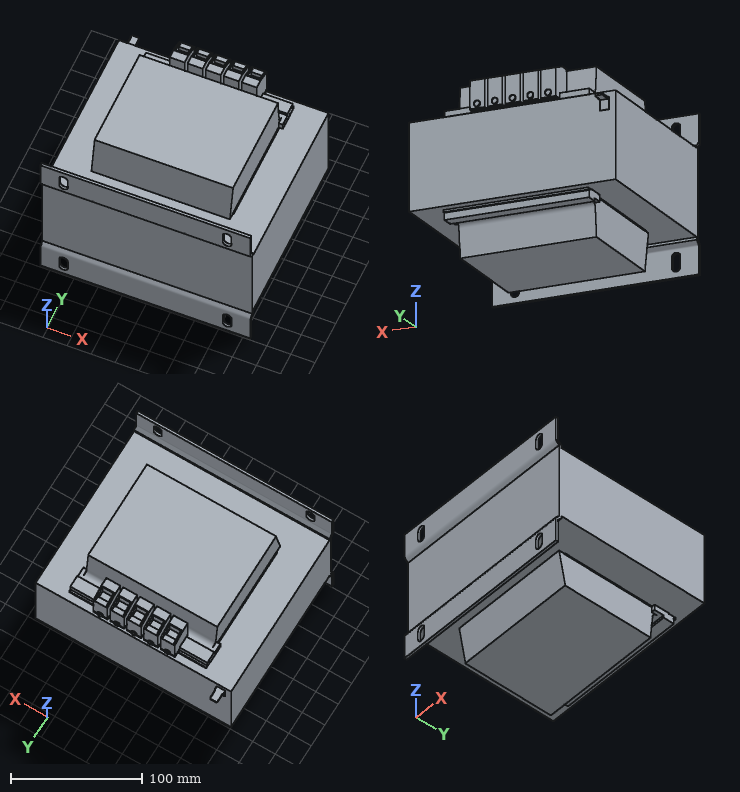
import cadquery as cq
import math


width = 174.1
total_depth = 162.8
total_height = 138.0
core_height = 72.0
core_front = 6.0
core_back = 151.5
core_top = core_height / 2

sheet = 2.5
flange_tip = 65.1
sheet_face = core_front - sheet
flange_corner = 40.7
outer_bend = 4.2
inner_bend = outer_bend - sheet
slot_x = 67.9
slot_z = 52.4
slot_length = 15.3
slot_width = 7.1

coil_width = 114.9
coil_top = total_height / 2
coil_rim = 1.5
coil_shoulder = coil_top - coil_rim
coil_front_top = 35.7
coil_front_base = 29.6
coil_back_top = 122.7
coil_back_waist = 124.8
waist_height = 45.6
flare_back = 129.2
liner_width = 116.3
liner_height = 0.3
liner_front = 35.0

bracket_width = 121.9
bracket_front = 123.8
bracket_step = 133.0
bracket_rear = 143.3
foot_rear = 145.0
ledge_top = 41.6
rail_top = 44.0
foot_top = 38.3
foot_gap = 0.5
gap_front = 138.5

terminal_count = 5
terminal_pitch = 15.0
terminal_width = 12.5
terminal_front = 131.1
terminal_back = 150.5
terminal_top = 67.0
terminal_bottom = 39.5
terminal_lip = 43.4
slope_front = 138.4
slope_low = 62.7
pocket_width = 9.7
pocket_front = 139.0
pocket_floor = 58.3
island_front = 145.9
nub_diameter = 4.9
nub_z = 43.0
foot_pad_front = 147.6
foot_pad_back = 149.7
foot_pad_height = 0.7

tab_x = -78.0
tab_top = 31.0
tab_bottom = 21.2
tab_sheet = 1.4
tab_plate = 0.7
tab_base_width = 7.7
tab_blade_width = 6.5
tab_shoulder = 154.6
tab_chamfer = 0.7


def block(x_size, y_from, y_to, z_from, z_to, x_mid=0.0):
    """Box centred on x_mid in X, given by its limits in Y and Z."""
    box = cq.Workplane("XY").box(x_size, y_to - y_from, z_to - z_from, centered=(True, False, False))
    return box.translate((x_mid, y_from, z_from))


def extrude_profile(profile, x_size, x_mid=0.0):
    """Extrude a closed Y-Z outline to both sides of x_mid."""
    return profile.extrude(x_size / 2, both=True).translate((x_mid, 0, 0))


def both_sides(body):
    """The body joined with its mirror image below the mid-plane."""
    return body.union(body.mirror("XY"))


def make_flange():
    """45 degree joggle that steps the sheet forward to the mounting face, with a round bend."""
    bend_angle = math.radians(45)
    half_angle = bend_angle / 2
    bend_z = flange_corner + outer_bend * math.tan(half_angle)
    inner_corner = flange_corner + sheet * math.tan(half_angle)

    def on_bend(radius, angle):
        return outer_bend - radius * math.cos(angle), bend_z - radius * math.sin(angle)

    profile = (
        cq.Workplane("YZ")
        .moveTo(core_front, 0)
        .lineTo(core_front, inner_corner - sheet_face)
        .lineTo(*on_bend(inner_bend, bend_angle))
        .threePointArc(on_bend(inner_bend, half_angle), on_bend(inner_bend, 0))
        .lineTo(sheet, flange_tip)
        .lineTo(0, flange_tip)
        .lineTo(0, bend_z)
        .threePointArc(on_bend(outer_bend, half_angle), on_bend(outer_bend, bend_angle))
        .lineTo(sheet_face, flange_corner - sheet_face)
        .lineTo(sheet_face, 0)
        .close()
    )
    slots = (
        cq.Workplane("XZ", origin=(0, -sheet, 0))
        .pushPoints([(-slot_x, slot_z), (slot_x, slot_z)])
        .slot2D(slot_length, slot_width, 90)
        .extrude(-3 * sheet)
    )
    return extrude_profile(profile, width).cut(slots)


def make_coil():
    """Upper half of the coil: drafted ends, a flare at the back and a liner at its base."""
    profile = (
        cq.Workplane("YZ")
        .moveTo(coil_front_base, 0)
        .lineTo(coil_front_base, core_top)
        .lineTo(coil_front_top, coil_shoulder)
        .lineTo(coil_front_top, coil_top)
        .lineTo(coil_back_top, coil_top)
        .lineTo(coil_back_top, coil_shoulder)
        .lineTo(coil_back_waist, waist_height)
        .tangentArcPoint((flare_back, ledge_top), relative=False)
        .lineTo(flare_back, 0)
        .close()
    )
    liner = block(liner_width, liner_front, coil_back_top, 0, core_top + liner_height)
    return extrude_profile(profile, coil_width).union(liner)


def make_bracket():
    """Stepped rail on the core; a thin gap runs under its rear foot."""
    rail = block(bracket_width, bracket_front, bracket_rear, core_top, rail_top)
    ledge_cut = block(bracket_width, bracket_front, bracket_step, ledge_top, rail_top)
    foot = block(bracket_width, gap_front, foot_rear, core_top, foot_top)
    gap = block(bracket_width, gap_front, foot_rear, core_top, core_top + foot_gap)
    return rail.cut(ledge_cut).union(foot).cut(gap)


def make_terminal(x_mid):
    """Clamp block with a sloped rear top, a stepped pocket, a foot pad and a round nub on its back."""
    profile = cq.Workplane("YZ").polyline([
        (terminal_front, terminal_top),
        (slope_front, terminal_top),
        (terminal_back, slope_low),
        (terminal_back, terminal_bottom),
        (bracket_step, terminal_bottom),
        (bracket_step, terminal_lip),
        (terminal_front, terminal_lip),
    ]).close()
    clamp = extrude_profile(profile, terminal_width, x_mid)
    recess = block(pocket_width, pocket_front, terminal_back, slope_low, terminal_top, x_mid)
    pit = block(pocket_width, pocket_front, island_front, pocket_floor, slope_low, x_mid)
    pad_bottom = terminal_bottom - foot_pad_height
    pad = block(terminal_width, foot_pad_front, foot_pad_back, pad_bottom, terminal_bottom, x_mid)
    nub = (
        cq.Workplane("XZ", origin=(x_mid, terminal_back, nub_z))
        .circle(nub_diameter / 2)
        .extrude(terminal_back - core_back)
    )
    return clamp.cut(recess).cut(pit).union(pad).union(nub)


def make_earth_tab():
    """L-shaped tab: a plate on the back of the core and a stepped blade."""
    blade_bottom = tab_top - tab_sheet
    plate = block(tab_base_width, core_back, core_back + tab_plate, tab_bottom, tab_top, tab_x)
    base = block(tab_base_width, core_back, tab_shoulder, blade_bottom, tab_top, tab_x)
    blade = block(tab_blade_width, core_back, total_depth, blade_bottom, tab_top, tab_x)
    blade = blade.faces(">Y").edges("|Z").chamfer(tab_chamfer)
    return plate.union(base).union(blade)


result = block(width, core_front, core_back, -core_top, core_top)
for half in (make_flange(), make_coil(), make_bracket()):
    result = result.union(both_sides(half))
for index in range(terminal_count):
    x_mid = (index - (terminal_count - 1) / 2) * terminal_pitch
    result = result.union(make_terminal(x_mid))
result = result.union(make_earth_tab())